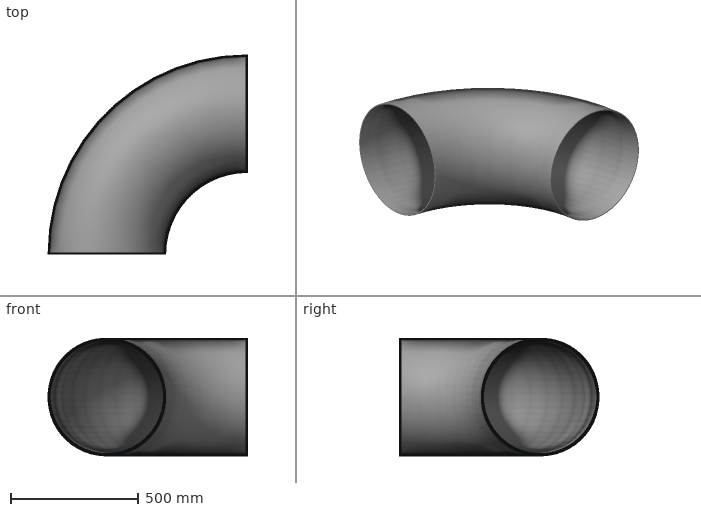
import cadquery as cq

outer_diameter = 458.0
wall_thickness = 4.0
bend_radius = 550.0
bend_angle = 90.0

outer_radius = outer_diameter / 2
inner_radius = outer_radius - wall_thickness


def make_elbow():
    """Revolve the pipe ring about the vertical bend axis at X = bend_radius.

    The first end is centred on the origin and faces -Y; the second end faces +X.
    """
    ring = cq.Workplane("XZ").circle(outer_radius).circle(inner_radius)
    axis_start = (bend_radius, 0)
    axis_end = (bend_radius, -1)
    return ring.revolve(bend_angle, axis_start, axis_end)


result = make_elbow()